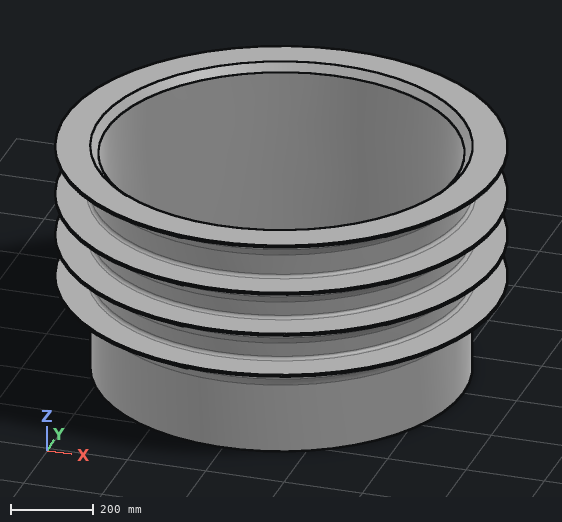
import cadquery as cq
import math

height = 600.0
flange_radius = 550.0
base_radius = 930.0 / 2

flange_tops = [height, 472.0, 361.0, 250.0]
rim_thickness = 5.0
flare_angle = 30.0
neck_top_radius = 471.0
neck_foot_radius = 465.0
under_fillet = 26.0
foot_fillet = 8.0

bore_top_radius = 890.0 / 2
bore_bottom_radius = 438.0
mouth_chamfer = base_radius - bore_top_radius

opening_radius = 810.0 / 2
lip_base_radius = 850.0 / 2
lip_top_radius = 422.0
lip_top = 69.0
floor_top = 40.0

level_tolerance = 0.1


def flare_root(top, neck_radius):
    """Point where the conical underside of a flange meets the neck."""
    drop = (flange_radius - neck_radius) * math.tan(math.radians(flare_angle))
    return (neck_radius, top - rim_thickness - drop)


def outer_outline():
    """Outer profile points from the base edge up to the top rim, with the corners to round."""
    points = [(base_radius, 0)]
    roots = []
    feet = []
    for top in reversed(flange_tops):
        is_lowest = top == flange_tops[-1]
        root = flare_root(top, base_radius if is_lowest else neck_top_radius)
        roots.append(root)
        points += [root, (flange_radius, top - rim_thickness), (flange_radius, top)]
        if top < height:
            foot = (neck_foot_radius, top)
            feet.append(foot)
            points.append(foot)
    return points, roots, feet


def inner_outline():
    """Inner profile points from the mouth down to the opening in the floor."""
    return [
        (base_radius, height),
        (bore_top_radius, height - mouth_chamfer),
        (bore_bottom_radius, floor_top),
        (lip_base_radius, floor_top),
        (lip_top_radius, lip_top),
        (opening_radius, lip_top),
        (opening_radius, 0),
    ]


def round_corners(body, corners, fillet_radius):
    """Fillet the circular edges that pass through the given (radius, z) corners.

    Each corner is concave, so its circle is the smallest one at its level.
    """
    for radius, z in corners:
        level = cq.selectors.BoxSelector(
            (-radius, -radius, z - level_tolerance),
            (radius, radius, z + level_tolerance),
        )
        circles = body.edges("%CIRCLE").edges(level)
        body = circles.edges(cq.selectors.RadiusNthSelector(0)).fillet(fillet_radius)
    return body


outer_points, flare_roots, neck_feet = outer_outline()
profile = cq.Workplane("XZ").polyline(outer_points + inner_outline()).close()
result = profile.revolve(360, (0, 0), (0, 1))
result = round_corners(result, flare_roots, under_fillet)
result = round_corners(result, neck_feet, foot_fillet)